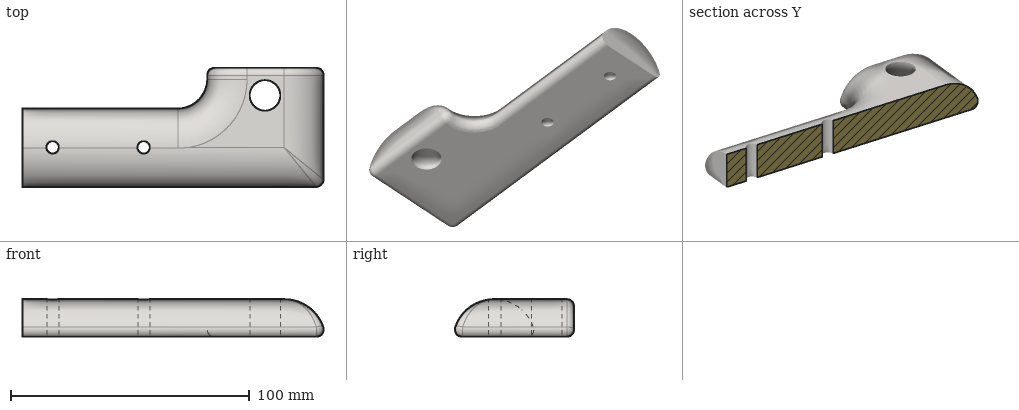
import cadquery as cq
import math

OVERALL_X = 126.18
HEIGHT = 15.875
CROWN_RADIUS = 17.4625
EDGE_RADIUS = 3.175
ARM_END_Y = 33.3375
ARM_FLAT_WIDTH = 15.55
BEND_CENTER_Y = 28.575
INNER_CREST_Y = -0.325

PIN_HOLE_DIAMETER = 5.11
PIN_HOLE_X = (12.7, 50.8)
PIVOT_HOLE_DIAMETER = 12.7
PIVOT_HOLE_X = 101.6
PIVOT_HOLE_Y = 21.75

SHARP_HALF_WIDTH = math.sqrt(CROWN_RADIUS**2 - (CROWN_RADIUS - HEIGHT) ** 2)
ROUNDED_HALF_WIDTH = EDGE_RADIUS + math.sqrt(
    (CROWN_RADIUS - EDGE_RADIUS) ** 2 - (CROWN_RADIUS - HEIGHT + EDGE_RADIUS) ** 2
)
OUTER_CREST_X = OVERALL_X - ROUNDED_HALF_WIDTH
INNER_CREST_X = OUTER_CREST_X - ARM_FLAT_WIDTH
BEND_RADIUS = BEND_CENTER_Y - INNER_CREST_Y
BEND_START_X = INNER_CREST_X - BEND_RADIUS


def draw_half_round(workplane, side):
    """Draw the underside from the crest outwards and the arc back up to the crest."""
    half_angle = math.asin(SHARP_HALF_WIDTH / CROWN_RADIUS) / 2
    arc_middle = (
        side * CROWN_RADIUS * math.sin(half_angle),
        HEIGHT - CROWN_RADIUS * (1 - math.cos(half_angle)),
    )
    return (
        workplane.lineTo(side * SHARP_HALF_WIDTH, 0)
        .threePointArc(arc_middle, (0, HEIGHT))
    )


def half_round_slab(workplane, side, flat_length, length):
    """Slab with a half-round on one side of the crest and a flat top on the other."""
    profile = draw_half_round(workplane, side)
    profile = profile.lineTo(-side * flat_length, HEIGHT).lineTo(-side * flat_length, 0)
    return profile.close().extrude(length)


def outer_body():
    """Block whose -Y and +X sides are half-rounds that meet in a mitre."""
    bar = half_round_slab(cq.Workplane("YZ"), -1, ARM_END_Y, OUTER_CREST_X + SHARP_HALF_WIDTH)
    arm_end_plane = cq.Workplane("XZ", origin=(OUTER_CREST_X, ARM_END_Y, 0))
    arm = half_round_slab(arm_end_plane, 1, OUTER_CREST_X, ARM_END_Y + SHARP_HALF_WIDTH)
    return bar.intersect(arm)


def draw_inner_crest():
    """Inner crest line: along the bar, around the bend and out to the arm end."""
    return (
        cq.Workplane("XY", origin=(0, INNER_CREST_Y, 0))
        .lineTo(BEND_START_X, 0)
        .radiusArc((INNER_CREST_X, BEND_RADIUS), -BEND_RADIUS)
        .lineTo(INNER_CREST_X, ARM_END_Y - INNER_CREST_Y)
    )


def inner_limit():
    """Everything outside the inner crest line plus the half-round that follows that line."""
    half_round = draw_half_round(cq.Workplane("YZ", origin=(0, INNER_CREST_Y, 0)), 1).close()
    clear_x = OVERALL_X + EDGE_RADIUS
    clear_y = -SHARP_HALF_WIDTH - EDGE_RADIUS
    outside = (
        draw_inner_crest()
        .lineTo(clear_x, ARM_END_Y - INNER_CREST_Y)
        .lineTo(clear_x, clear_y)
        .lineTo(0, clear_y)
        .close()
        .extrude(HEIGHT)
    )
    return outside.union(half_round.sweep(draw_inner_crest()))


def round_edges(body):
    """Round the outer corner, the outline of the underside and the arm end together."""
    outer_corner = body.edges("%ELLIPSE").edges(">X")
    underside = body.faces("<Z").edges("not(<X)")
    arm_end = body.faces(">Y").edges("not(<Z)")
    return outer_corner.add(underside).add(arm_end).fillet(EDGE_RADIUS)


def drill(body, diameter, x, y):
    """Drill a vertical hole right through the body."""
    hole = cq.Workplane().center(x, y).circle(diameter / 2).extrude(HEIGHT)
    return body.cut(hole)


body = round_edges(outer_body().intersect(inner_limit()))
for pin_x in PIN_HOLE_X:
    body = drill(body, PIN_HOLE_DIAMETER, pin_x, 0)
result = drill(body, PIVOT_HOLE_DIAMETER, PIVOT_HOLE_X, PIVOT_HOLE_Y)